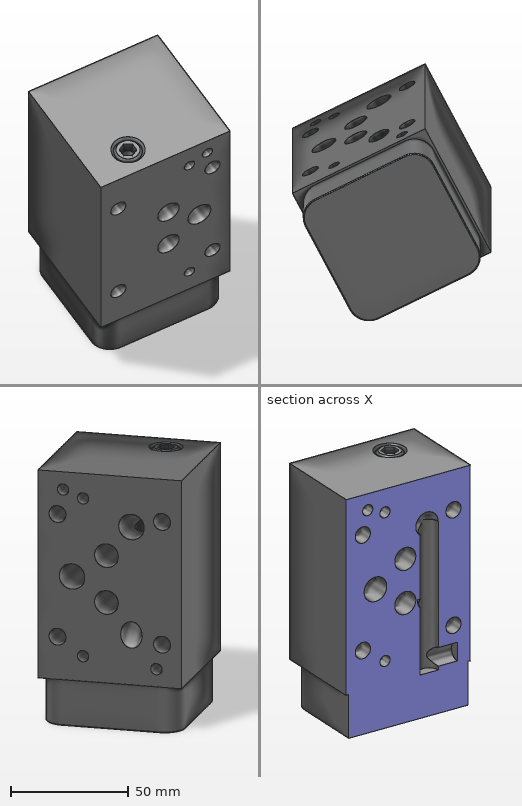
import cadquery as cq
import math

OVERALL_HEIGHT = 112.7
BLOCK_X = 61.9
BLOCK_Y = 63.5
FOOT_HEIGHT = 20.6
FOOT_RELIEF_X = 1.0
FOOT_RELIEF_Y = 1.1
FOOT_CORNER_RADIUS = 9.1
FOOT_CHAMFER = 0.5

BLOCK_HEIGHT = OVERALL_HEIGHT - FOOT_HEIGHT
FACE_X = -BLOCK_X / 2
CENTER_Z = FOOT_HEIGHT + BLOCK_HEIGHT / 2

BOLT_DIAMETER = 7.4
BOLT_Y = 23.1
BOLT_RISE = 27.2
WORK_PORT_DIAMETER = 10.5
WORK_PORT_Y = 1.5
WORK_PORT_RISE = 10.4
PRESSURE_PORT_DIAMETER = 11.3
PRESSURE_PORT_Y = 16.7
PIN_DIAMETER = 5.0
INNER_PIN_Y = 11.8
INNER_PIN_RISE = 35.0
OUTER_PIN_Y = 20.6
OUTER_PIN_RISE = 38.2

PILOT_DIAMETER = 8.6
PILOT_DROP = 1.8

TANK_PORT_DIAMETER = 11.3
TANK_PORT_Y = -9.6
TANK_PORT_RISE = 23.9
TANK_PORT_DEPTH = 17.2
SLANT_DIAMETER = 9.5
SLANT_ANGLE = 36.0
CHANNEL_DIAMETER = 9.0
CHANNEL_X = FACE_X + 18.3
CHANNEL_Y = -10.7

PLUG_X = 18.4
PLUG_Y = -11.2
PLUG_DIAMETER = 12.3
PLUG_LENGTH = 12.3
PLUG_CHAMFER = 1.0
COUNTERSINK = 1.1
SOCKET_ACROSS_FLATS = 6.4
SOCKET_DEPTH = 4.5
DRILL_POINT_ANGLE = 118.0


def through_holes(diameter, places):
    """Holes along X through the whole block, at (Y, height from the block centre) places."""
    return (
        cq.Workplane("YZ", origin=(FACE_X, 0, CENTER_Z))
        .pushPoints(places)
        .circle(diameter / 2)
        .extrude(BLOCK_X)
    )


def tank_passage():
    """The two tank ports and the channel between them, as three cutting solids."""
    port_z = CENTER_Z + TANK_PORT_RISE
    port_radius = TANK_PORT_DIAMETER / 2
    arc_middle = port_radius * math.sqrt(0.5)
    port = (
        cq.Workplane("XZ", origin=(FACE_X, TANK_PORT_Y, port_z))
        .lineTo(0, port_radius)
        .lineTo(TANK_PORT_DEPTH, port_radius)
        .threePointArc((TANK_PORT_DEPTH + arc_middle, arc_middle), (TANK_PORT_DEPTH + port_radius, 0))
        .close()
        .revolve(360, (0, 0), (1, 0))
        .val()
    )

    slant = math.radians(SLANT_ANGLE)
    mouth_z = CENTER_Z - TANK_PORT_RISE
    lead_in = SLANT_DIAMETER
    slant_length = lead_in + (CHANNEL_X - FACE_X) / math.cos(slant)
    slant_start = (
        FACE_X - lead_in * math.cos(slant),
        TANK_PORT_Y,
        mouth_z - lead_in * math.sin(slant),
    )
    slanted = cq.Solid.makeCylinder(
        SLANT_DIAMETER / 2,
        slant_length,
        cq.Vector(*slant_start),
        cq.Vector(math.cos(slant), 0, math.sin(slant)),
    )
    channel = cq.Solid.makeCylinder(
        CHANNEL_DIAMETER / 2,
        port_z - FOOT_HEIGHT,
        cq.Vector(CHANNEL_X, CHANNEL_Y, FOOT_HEIGHT),
    )
    return port, slanted, channel


def pilot_passage():
    """Hole at the fourth outer pin place, opening into a bore along Y that meets the channel."""
    pin_y = -OUTER_PIN_Y
    pin_z = CENTER_Z - OUTER_PIN_RISE
    entry = cq.Solid.makeCylinder(
        PIN_DIAMETER / 2, CHANNEL_X - FACE_X, cq.Vector(FACE_X, pin_y, pin_z), cq.Vector(1, 0, 0)
    )

    cross_start_y = pin_y - PILOT_DIAMETER / 2
    cross = cq.Solid.makeCylinder(
        PILOT_DIAMETER / 2,
        CHANNEL_Y - cross_start_y,
        cq.Vector(CHANNEL_X, cross_start_y, pin_z - PILOT_DROP),
        cq.Vector(0, 1, 0),
    )
    return entry, cross


def plug_seat():
    """Plain bore for the plug with a countersunk mouth."""
    seat = (
        cq.Workplane("XY", origin=(PLUG_X, PLUG_Y, OVERALL_HEIGHT))
        .circle(PLUG_DIAMETER / 2)
        .extrude(-PLUG_LENGTH)
    )
    mouth = cq.Solid.makeCone(
        PLUG_DIAMETER / 2,
        PLUG_DIAMETER / 2 + COUNTERSINK,
        COUNTERSINK,
        cq.Vector(PLUG_X, PLUG_Y, OVERALL_HEIGHT - COUNTERSINK),
    )
    return seat.union(cq.Workplane(mouth))


def make_valve_block():
    """Block and foot in one piece, with all ports, passages and the plug seat cut."""
    foot = (
        cq.Workplane("XY")
        .rect(BLOCK_X - 2 * FOOT_RELIEF_X, BLOCK_Y - 2 * FOOT_RELIEF_Y)
        .extrude(FOOT_HEIGHT)
        .edges("|Z")
        .fillet(FOOT_CORNER_RADIUS)
        .faces("<Z")
        .chamfer(FOOT_CHAMFER)
    )
    body = (
        cq.Workplane("XY", origin=(0, 0, FOOT_HEIGHT))
        .rect(BLOCK_X, BLOCK_Y)
        .extrude(BLOCK_HEIGHT)
        .union(foot)
    )

    bolts = [(y, z) for y in (-BOLT_Y, BOLT_Y) for z in (-BOLT_RISE, BOLT_RISE)]
    work_ports = [(WORK_PORT_Y, z) for z in (-WORK_PORT_RISE, WORK_PORT_RISE)]
    pins = [(INNER_PIN_Y, -INNER_PIN_RISE), (INNER_PIN_Y, INNER_PIN_RISE), (OUTER_PIN_Y, OUTER_PIN_RISE)]
    body = body.cut(through_holes(BOLT_DIAMETER, bolts))
    body = body.cut(through_holes(WORK_PORT_DIAMETER, work_ports))
    body = body.cut(through_holes(PRESSURE_PORT_DIAMETER, [(PRESSURE_PORT_Y, 0)]))
    body = body.cut(through_holes(PIN_DIAMETER, pins))

    for bore in (*tank_passage(), *pilot_passage()):
        body = body.cut(cq.Workplane(bore))
    return body.cut(plug_seat())


def make_plug():
    """Screw plug with a chamfered rim and a hexagon socket ending in a drill point."""
    plug = (
        cq.Workplane("XY", origin=(PLUG_X, PLUG_Y, OVERALL_HEIGHT - PLUG_LENGTH))
        .circle(PLUG_DIAMETER / 2)
        .extrude(PLUG_LENGTH)
        .faces(">Z")
        .chamfer(PLUG_CHAMFER)
    )
    socket = (
        cq.Workplane("XY", origin=(PLUG_X, PLUG_Y, OVERALL_HEIGHT))
        .polygon(6, SOCKET_ACROSS_FLATS / math.cos(math.pi / 6))
        .extrude(-SOCKET_DEPTH)
    )
    socket_radius = SOCKET_ACROSS_FLATS / 2
    drill_point = cq.Solid.makeCone(
        socket_radius,
        0,
        socket_radius / math.tan(math.radians(DRILL_POINT_ANGLE / 2)),
        cq.Vector(PLUG_X, PLUG_Y, OVERALL_HEIGHT - SOCKET_DEPTH),
        cq.Vector(0, 0, -1),
    )
    return plug.cut(socket).cut(cq.Workplane(drill_point))


valve_block = make_valve_block()
plug = make_plug()

result = cq.Compound.makeCompound([valve_block.solids().val(), plug.solids().val()])